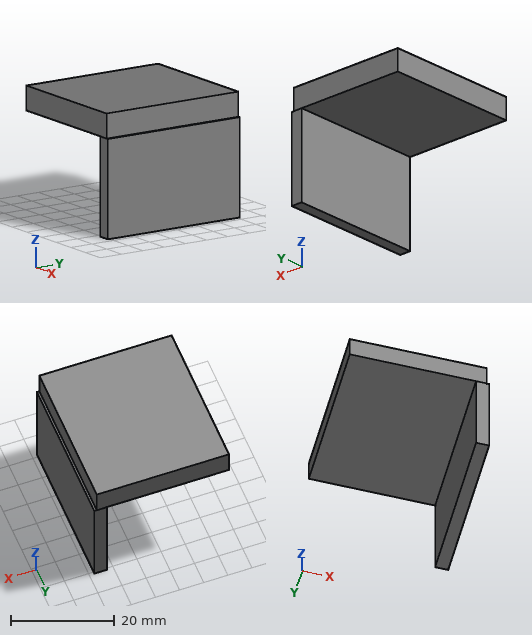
import cadquery as cq

total_length = 27.9
width = 31.0
total_height = 25.0

plate_thickness = 5.0
wall_thickness = 2.65
wall_overhang = 0.5

plate_length = total_length - wall_overhang
wall_height = total_height - plate_thickness


def make_plate():
    """Horizontal plate resting on top of the wall."""
    return (
        cq.Workplane("XY")
        .box(plate_length, width, plate_thickness, centered=(False, True, False))
        .translate((0, 0, wall_height))
    )


def make_wall():
    """Upright wall under the +X end of the plate."""
    return (
        cq.Workplane("XY")
        .box(wall_thickness, width, wall_height, centered=(False, True, False))
        .translate((total_length - wall_thickness, 0, 0))
    )


plate = make_plate()
wall = make_wall()

result = cq.Compound.makeCompound([plate.val(), wall.val()])